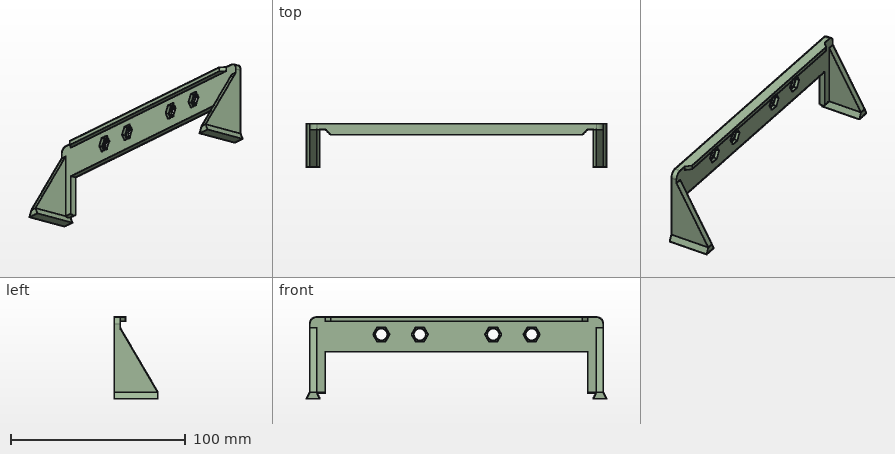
import cadquery as cq

FRAME_WIDTH = 168.0
FRAME_HEIGHT = 46.8
FRAME_DEPTH = 25.0
PLATE_THICKNESS = 3.5
CROSSBAR_HEIGHT = 20.0
POST_WIDTH = 9.0
CORNER_RADIUS = 4.0

GUSSET_THICKNESS = 4.0
GUSSET_TOP_DROP = 6.3
FOOT_HEIGHT = 3.8
POST_END_BULGE = 0.7
FOOT_FLARE = 1.875

LIP_OVERHANG = 3.0
LIP_THICKNESS = 2.5
LIP_END_INSET = 9.0

HOLE_DIAMETER = 6.8
NUT_ACROSS_CORNERS = 9.47
NUT_POCKET_DEPTH = 2.1
HOLE_OFFSETS = (21.0, 43.0)

half_width = FRAME_WIDTH / 2
hole_height = FRAME_HEIGHT - CROSSBAR_HEIGHT / 2


def make_plate():
    """Upright portal plate: crossbar with a post at each end and rounded top corners."""
    opening_width = FRAME_WIDTH - 2 * POST_WIDTH
    crossbar_bottom = FRAME_HEIGHT - CROSSBAR_HEIGHT
    plate = cq.Workplane("XY").box(
        FRAME_WIDTH, PLATE_THICKNESS, FRAME_HEIGHT - FOOT_HEIGHT, centered=(True, False, False)
    )
    plate = plate.edges("|Y and >Z").fillet(CORNER_RADIUS)
    plate = plate.translate((0, -PLATE_THICKNESS, FOOT_HEIGHT))
    opening = cq.Workplane("XY").box(
        opening_width, 2 * PLATE_THICKNESS, crossbar_bottom, centered=(True, True, False)
    )
    opening = opening.translate((0, -PLATE_THICKNESS / 2, 0))
    return plate.cut(opening)


def make_post_end(side):
    """Shallow rounded underside of one post, curved from its front edge to its rear edge."""
    return (
        cq.Workplane("YZ", origin=(side * (half_width - POST_WIDTH / 2), 0, 0))
        .moveTo(-PLATE_THICKNESS, FOOT_HEIGHT)
        .threePointArc((-PLATE_THICKNESS / 2, FOOT_HEIGHT - POST_END_BULGE), (0, FOOT_HEIGHT))
        .close()
        .extrude(POST_WIDTH / 2, both=True)
    )


def make_lip():
    """Ledge on the front of the crossbar, flush with its top, with 45 degree ends."""
    root = half_width - LIP_END_INSET
    tip = root - LIP_OVERHANG
    front = -PLATE_THICKNESS - LIP_OVERHANG
    return (
        cq.Workplane("XY", origin=(0, 0, FRAME_HEIGHT - LIP_THICKNESS))
        .polyline([(-root, 0), (-root, -PLATE_THICKNESS), (-tip, front),
                   (tip, front), (root, -PLATE_THICKNESS), (root, 0)])
        .close()
        .extrude(LIP_THICKNESS)
    )


def make_leg(side):
    """Gusset and dovetail foot at one end: side is -1 for the -X end, +1 for the +X end."""
    centre = side * (half_width - GUSSET_THICKNESS / 2)
    gusset = (
        cq.Workplane("YZ", origin=(centre, 0, 0))
        .polyline([(0, FOOT_HEIGHT), (-FRAME_DEPTH, FOOT_HEIGHT),
                   (-PLATE_THICKNESS, FRAME_HEIGHT - GUSSET_TOP_DROP),
                   (0, FRAME_HEIGHT - GUSSET_TOP_DROP)])
        .close()
        .extrude(GUSSET_THICKNESS / 2, both=True)
    )
    half_top = GUSSET_THICKNESS / 2
    half_bottom = half_top + FOOT_FLARE
    foot = (
        cq.Workplane("XZ", origin=(centre, 0, 0))
        .polyline([(-half_bottom, 0), (half_bottom, 0), (half_top, FOOT_HEIGHT), (-half_top, FOOT_HEIGHT)])
        .close()
        .extrude(FRAME_DEPTH)
    )
    return gusset.union(foot)


def make_screw_hole(x):
    """Cutter for a through hole with a hexagonal nut pocket sunk into the front face."""
    front_plane = cq.Workplane("XZ", origin=(x, -PLATE_THICKNESS, hole_height))
    hole = front_plane.circle(HOLE_DIAMETER / 2).extrude(-PLATE_THICKNESS)
    pocket = front_plane.polygon(6, NUT_ACROSS_CORNERS).extrude(-NUT_POCKET_DEPTH)
    return hole.union(pocket)


result = make_plate().union(make_lip())
for side in (-1, 1):
    result = result.union(make_leg(side)).union(make_post_end(side))
    for offset in HOLE_OFFSETS:
        result = result.cut(make_screw_hole(side * offset))